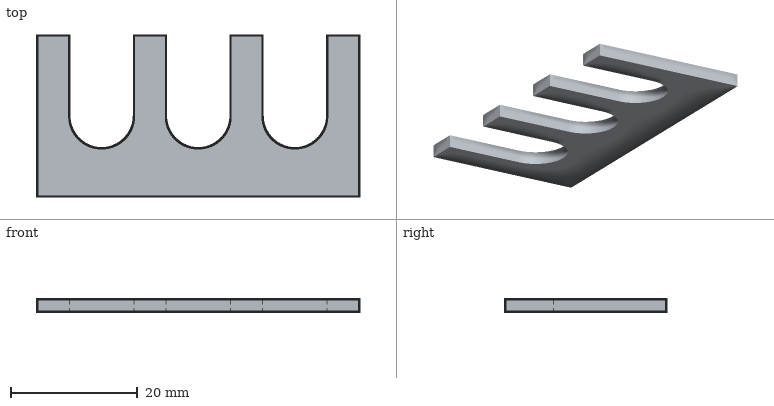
import cadquery as cq

length = 50.8
width = 25.4
thickness = 2.0
slot_count = 3
slot_width = 10.15
slot_floor = 7.6

tooth_width = (length - slot_count * slot_width) / (slot_count + 1)
slot_pitch = slot_width + tooth_width
slot_radius = slot_width / 2
arc_center_y = slot_floor + slot_radius


def slot_cutter(center_x):
    """U-shaped slot with a round bottom, open at the back edge."""
    left = center_x - slot_radius
    right = center_x + slot_radius
    return (
        cq.Workplane("XY")
        .moveTo(left, width)
        .lineTo(left, arc_center_y)
        .threePointArc((center_x, slot_floor), (right, arc_center_y))
        .lineTo(right, width)
        .close()
        .extrude(thickness)
    )


result = cq.Workplane("XY").box(length, width, thickness, centered=(True, False, False))

for index in range(slot_count):
    slot_x = (index - (slot_count - 1) / 2) * slot_pitch
    result = result.cut(slot_cutter(slot_x))